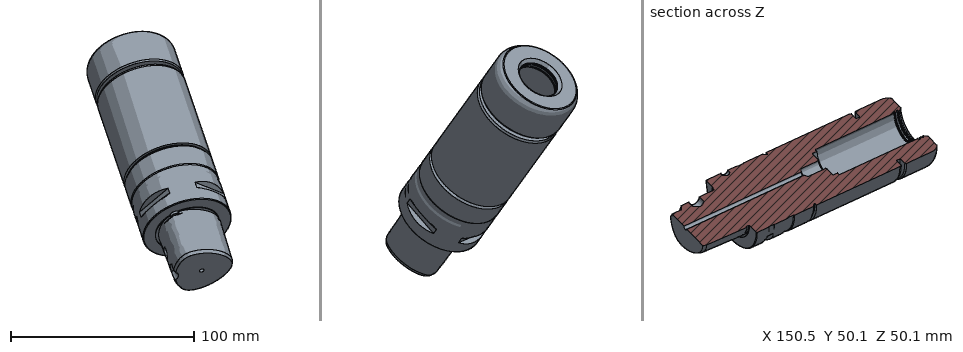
import cadquery as cq
import math

total_length = 150.5
nose_end = 22.7
nose_groove_end = 25.0
sleeve_end = 81.0
collar_start = 83.1
band_start = 95.4
flange_start = 100.4
flange_end = 120.4
foot_end = 120.9
neck_end = 122.5
tip_chamfer = 2.0

body_diameter = 50.1
body_radius = body_diameter / 2
nose_groove_radius = 20.0
collar_groove_radius = 23.5
band_radius = 24.7
band_entry_length = 0.6
band_exit_length = 1.4
nose_face_radius = 22.7
nose_round = 7.5
nose_round_length = 5.5
nose_lip_radius = 22.1
nose_lip_length = 0.3
nose_chamfer = 0.9
sleeve_chamfer = 1.4
edge_chamfer_depth = 0.6
flange_chamfer = 0.5
foot_radius = 18.0

mouth_radius = 13.47
mouth_length = 1.8
seal_groove_radius = 12.6
seal_groove_width = 0.9
seal_groove_ends = (3.5, 5.5)
bore_radius = 11.7
bore_depth = 57.2
stop_radius = 10.1
stop_depth = 60.2
coolant_mouth_radius = 3.99
coolant_drill_radius = 3.5
coolant_drill_depth = 12.0
coolant_radius = 1.28
drill_half_angle = 59.0

shank_mean_radius = 17.5
lobe_height = 1.16
taper_slope = 1 / 40
tip_inset = 0.8
neck_radius = 17.8
outline_points = 24

pin_diameter = 6.0
pin_length = 1.5
pin_y = -6.8
pin_z = 14.6

pocket_center_x = 110.5
pocket_floor_width = 3.5
pocket_floor_distance = 22.3
pocket_mouth_width = 6.3
pocket_angles = (45, 135, 225, 315)
flat_width = 3.5
flat_distance = 24.8
flange_hole_x = 108.2
flange_hole_diameter = 4.2
flange_hole_depth = 2.3
shank_hole_x = 134.1
shank_hole_diameter = 6.9
shank_hole_depth = 4.5
tip_hole_diameter = 8.0
tip_hole_length = 6.2
tip_hole_offset = 17.2


def revolve_about_x(profile):
    """Turn a closed profile, drawn as (X, radius), around the X axis."""
    return profile.close().revolve(360, (0, 0, 0), (1, 0, 0))


def cone_length(radius):
    """Length of the conical end left by a drill of the given radius."""
    return radius / math.tan(math.radians(drill_half_angle))


def make_body():
    """Nose, sleeve, collar and flange as one turned solid."""
    round_center_radius = body_radius - nose_round
    mid_x = (nose_lip_length + nose_round_length) / 2
    mid_radius = round_center_radius + math.sqrt(nose_round**2 - (nose_round_length - mid_x) ** 2)
    chamfered_radius = body_radius - edge_chamfer_depth
    profile = (
        cq.Workplane("XY")
        .lineTo(0, nose_lip_radius)
        .lineTo(nose_lip_length, nose_face_radius)
        .threePointArc((mid_x, mid_radius), (nose_round_length, body_radius))
        .lineTo(nose_end - nose_chamfer, body_radius)
        .lineTo(nose_end, chamfered_radius)
        .lineTo(nose_end, nose_groove_radius)
        .lineTo(nose_groove_end, nose_groove_radius)
        .lineTo(nose_groove_end, chamfered_radius)
        .lineTo(nose_groove_end + sleeve_chamfer, body_radius)
        .lineTo(sleeve_end, body_radius)
        .lineTo(sleeve_end, collar_groove_radius)
        .lineTo(collar_start - (body_radius - collar_groove_radius), collar_groove_radius)
        .lineTo(collar_start, body_radius)
        .lineTo(band_start, body_radius)
        .lineTo(band_start + band_entry_length, band_radius)
        .lineTo(flange_start - band_exit_length, band_radius)
        .lineTo(flange_start, body_radius)
        .lineTo(flange_end - flange_chamfer, body_radius)
        .lineTo(flange_end, body_radius - flange_chamfer)
        .lineTo(flange_end, foot_radius)
        .lineTo(foot_end, foot_radius)
        .lineTo(foot_end, 0)
    )
    return revolve_about_x(profile)


def lobed_outline(x, mean_radius):
    """Closed three-lobed outline of constant width in the plane at x."""
    points = []
    for i in range(outline_points):
        angle = 2 * math.pi * i / outline_points
        support = mean_radius + lobe_height * math.cos(3 * angle)
        slope = -3 * lobe_height * math.sin(3 * angle)
        y = support * math.cos(angle) - slope * math.sin(angle)
        z = support * math.sin(angle) + slope * math.cos(angle)
        points.append(cq.Vector(x, y, z))
    return cq.Wire.assembleEdges([cq.Edge.makeSpline(points, periodic=True)])


def lobed_length(start_x, start_radius, end_x, end_radius):
    """Solid ruled between two lobed outlines of different mean radius."""
    outlines = [lobed_outline(start_x, start_radius), lobed_outline(end_x, end_radius)]
    return cq.Workplane(cq.Solid.makeLoft(outlines, True))


def make_shank():
    """Neck with trimmed lobes, tapered length and chamfered tip."""
    chamfer_x = total_length - tip_chamfer
    chamfer_radius = shank_mean_radius - taper_slope * (chamfer_x - neck_end)
    neck = lobed_length(flange_end, shank_mean_radius, neck_end, shank_mean_radius)
    neck_limit = cq.Workplane("YZ", origin=(flange_end, 0, 0)).circle(neck_radius)
    neck = neck.intersect(neck_limit.extrude(neck_end - flange_end))
    taper = lobed_length(neck_end, shank_mean_radius, chamfer_x, chamfer_radius)
    tip = lobed_length(chamfer_x, chamfer_radius, total_length, chamfer_radius - tip_inset)
    return neck.union(taper).union(tip)


def make_pin():
    """Short pin standing on the flange face."""
    return cq.Workplane("YZ", origin=(flange_end, pin_y, pin_z)).circle(pin_diameter / 2).extrude(pin_length)


def make_bore():
    """Grooved bore with a stop, ending in a drilled coolant passage through the shank."""
    mouth_chamfer = coolant_mouth_radius - coolant_drill_radius
    drill_end = stop_depth + coolant_drill_depth
    drill_tip = drill_end + cone_length(coolant_drill_radius - coolant_radius)
    profile = (
        cq.Workplane("XY")
        .lineTo(0, mouth_radius)
        .lineTo(mouth_length, bore_radius)
        .lineTo(bore_depth, bore_radius)
        .lineTo(bore_depth, stop_radius)
        .lineTo(stop_depth, stop_radius)
        .lineTo(stop_depth, coolant_mouth_radius)
        .lineTo(stop_depth + mouth_chamfer, coolant_drill_radius)
        .lineTo(drill_end, coolant_drill_radius)
        .lineTo(drill_tip, coolant_radius)
        .lineTo(total_length, coolant_radius)
        .lineTo(total_length, 0)
    )
    bore = revolve_about_x(profile)
    for groove_end in seal_groove_ends:
        groove = cq.Workplane("YZ", origin=(groove_end, 0, 0)).circle(seal_groove_radius)
        bore = bore.union(groove.extrude(-seal_groove_width))
    return bore


def make_pocket(angle):
    """Trapezoidal cut with a flat floor, facing outward at an angle from +Y about the X axis."""
    wall_slope = (pocket_mouth_width - pocket_floor_width) / 2 / (body_radius - pocket_floor_distance)
    cut_top = body_diameter
    half_floor = pocket_floor_width / 2
    half_top = half_floor + wall_slope * (cut_top - pocket_floor_distance)
    pocket = (
        cq.Workplane("XY")
        .polyline(
            [
                (pocket_center_x - half_floor, pocket_floor_distance),
                (pocket_center_x + half_floor, pocket_floor_distance),
                (pocket_center_x + half_top, cut_top),
                (pocket_center_x - half_top, cut_top),
            ]
        )
        .close()
        .extrude(body_radius, both=True)
    )
    return pocket.rotate((0, 0, 0), (1, 0, 0), angle)


def make_flat():
    """Block that trims a shallow flat on the +Y side of the flange."""
    block = cq.Workplane("XY").box(flat_width, body_radius, body_diameter, centered=(True, False, True))
    return block.translate((pocket_center_x, flat_distance, 0))


def drill(diameter, depth, clearance):
    """Drill along +X from the origin with a conical end; clearance extends it backwards."""
    radius = diameter / 2
    profile = (
        cq.Workplane("XY")
        .moveTo(-clearance, 0)
        .lineTo(-clearance, radius)
        .lineTo(depth, radius)
        .lineTo(depth + cone_length(radius), 0)
    )
    return revolve_about_x(profile)


def side_drill(x, surface_radius, diameter, depth):
    """Radial hole entering from the -Y side."""
    hole = drill(diameter, depth, diameter)
    return hole.rotate((0, 0, 0), (0, 0, 1), 90).translate((x, -surface_radius, 0))


def make_tip_hole():
    """Drilled scoop along the -Y flank, open at the shank tip; its axis lies outside the shank."""
    hole = drill(tip_hole_diameter, tip_hole_length, 0)
    return hole.rotate((0, 0, 0), (0, 0, 1), 180).translate((total_length, -tip_hole_offset, 0))


shank_flank_radius = shank_mean_radius - lobe_height - taper_slope * (shank_hole_x - neck_end)

result = make_body().union(make_shank()).union(make_pin()).cut(make_bore())
for pocket_angle in pocket_angles:
    result = result.cut(make_pocket(pocket_angle))
result = result.cut(make_flat())
result = result.cut(side_drill(flange_hole_x, body_radius, flange_hole_diameter, flange_hole_depth))
result = result.cut(side_drill(shank_hole_x, shank_flank_radius, shank_hole_diameter, shank_hole_depth))
result = result.cut(make_tip_hole())